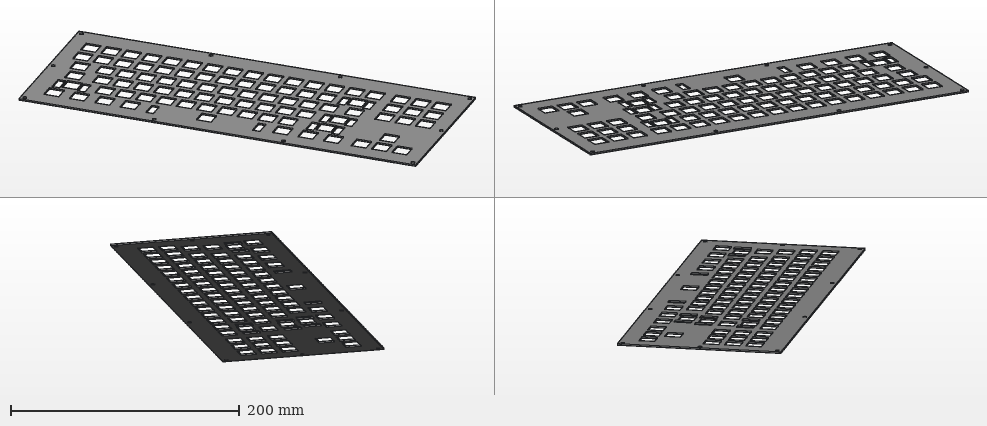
import cadquery as cq

PLATE_LENGTH = 372.0
PLATE_WIDTH = 146.0
PLATE_THICKNESS = 1.5

MOUNT_HOLE_DIAMETER = 3.3
MOUNT_HOLE_INSET = 4.0
MOUNT_X = PLATE_LENGTH / 2 - MOUNT_HOLE_INSET
MOUNT_Y = PLATE_WIDTH / 2 - MOUNT_HOLE_INSET

KEY_UNIT = 19.05
MAIN_BLOCK_UNITS = 15.0
SIDE_BLOCK_GAP_UNITS = 0.25
SIDE_BLOCK_UNITS = 3.0
GRID_UNITS = MAIN_BLOCK_UNITS + SIDE_BLOCK_GAP_UNITS + SIDE_BLOCK_UNITS
GRID_LEFT = -GRID_UNITS * KEY_UNIT / 2
SIDE_BLOCK_START = MAIN_BLOCK_UNITS + SIDE_BLOCK_GAP_UNITS
GRID_CENTER_Y = -2.05

SWITCH_SIZE = 14.0
CUTOUT_CORNER_RADIUS = 0.5
STABILIZER_WIDTH = 7.0
STABILIZER_HEIGHT = 15.0
STABILIZER_DROP = 1.5
SHORT_STABILIZER_OFFSET = 11.9
SPACEBAR_STABILIZER_OFFSET = 50.0
STABILIZED_KEY_MIN_UNITS = 2.0
SPACEBAR_UNITS = 6.25

MAIN_ROWS = [
    [1] * 15,
    [1] * 13 + [2],
    [1.5] + [1] * 12 + [1.5],
    [1.75] + [1] * 11 + [2.25],
    [2.25] + [1] * 10 + [2.75],
    [1.25] * 4 + [SPACEBAR_UNITS] + [1.25] * 3,
]

SIDE_ROWS = [
    [0, 1, 2],
    [0, 1, 2],
    [0, 1, 2],
    [],
    [1],
    [0, 1, 2],
]


def key_x(units):
    """X of a point given in key units from the left end of the grid."""
    return GRID_LEFT + units * KEY_UNIT


def row_y(row):
    """Y of the key centres in a row, counted from the top row."""
    middle_row = (len(MAIN_ROWS) - 1) / 2
    return GRID_CENTER_Y + (middle_row - row) * KEY_UNIT


def main_keys():
    """Centre and width in key units of every key in the main block."""
    keys = []
    for row, widths in enumerate(MAIN_ROWS):
        start = 0
        for width in widths:
            keys.append((key_x(start + width / 2), row_y(row), width))
            start += width
    return keys


def side_key_centers():
    """Centre of every key in the side block."""
    centers = []
    for row, columns in enumerate(SIDE_ROWS):
        for column in columns:
            centers.append((key_x(SIDE_BLOCK_START + column + 1 / 2), row_y(row)))
    return centers


def stabilizer_centers(keys):
    """Slot centres on both sides of every wide key."""
    centers = []
    for x, y, width in keys:
        if width < STABILIZED_KEY_MIN_UNITS:
            continue
        offset = SPACEBAR_STABILIZER_OFFSET if width == SPACEBAR_UNITS else SHORT_STABILIZER_OFFSET
        for side in (-1, 1):
            centers.append((x + side * offset, y - STABILIZER_DROP))
    return centers


def mount_hole_centers():
    """Four holes along each long edge and one midway up each short edge."""
    centers = [(-MOUNT_X, 0), (MOUNT_X, 0)]
    for x in (-MOUNT_X, -MOUNT_X / 3, MOUNT_X / 3, MOUNT_X):
        for y in (-MOUNT_Y, MOUNT_Y):
            centers.append((x, y))
    return centers


def cutout_blocks(centers, width, height):
    """Round-cornered blocks that cut through the plate."""
    return (
        cq.Workplane("XY")
        .pushPoints(centers)
        .rect(width, height)
        .extrude(PLATE_THICKNESS)
        .edges("|Z")
        .fillet(CUTOUT_CORNER_RADIUS)
    )


keys = main_keys()
switch_centers = [(x, y) for x, y, _ in keys] + side_key_centers()

plate = cq.Workplane("XY").rect(PLATE_LENGTH, PLATE_WIDTH).extrude(PLATE_THICKNESS)
mount_holes = (
    cq.Workplane("XY")
    .pushPoints(mount_hole_centers())
    .circle(MOUNT_HOLE_DIAMETER / 2)
    .extrude(PLATE_THICKNESS)
)

result = (
    plate
    .cut(cutout_blocks(switch_centers, SWITCH_SIZE, SWITCH_SIZE))
    .cut(cutout_blocks(stabilizer_centers(keys), STABILIZER_WIDTH, STABILIZER_HEIGHT))
    .cut(mount_holes)
)